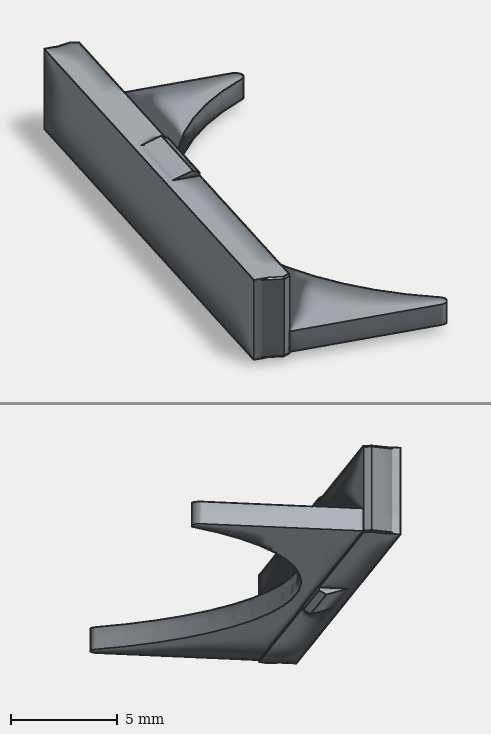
import cadquery as cq
import math

total_length = 26.98
total_depth = 9.9
total_height = 4.83

wall_depth = 1.78
side_ridge_rise = 0.27
top_ridge_rise = 0.32
wall_length = total_length - 2 * side_ridge_rise
wall_height = total_height - 2 * top_ridge_rise

ridge_crest_setback = 0.35
ridge_front_setback = 1.38
top_ridge_back_step = 0.13
side_ridge_back_step = 0.08
top_ridge_length = 4.0
side_ridge_bevel = 0.08
ridge_root = 0.27

plate_thickness = 1.08
plate_bottom_gap = 0.08
cradle_web = 0.73
tip_radius = 0.4


def make_wall():
    return cq.Workplane("XY").box(wall_length, wall_depth, wall_height).translate((0, -wall_depth / 2, 0))


def make_ridge(plane, wall_face, rise, back_step, length):
    """Ridge with a steep back and a long front ramp, centred along its length."""
    outline = [
        (wall_face - ridge_root, 0),
        (wall_face + back_step, 0),
        (wall_face + rise, -ridge_crest_setback),
        (wall_face, -ridge_front_setback),
        (wall_face - ridge_root, -ridge_front_setback),
    ]
    return cq.Workplane(plane).polyline(outline).close().extrude(length / 2, both=True)


def make_cradle():
    """Plate with a concave arc that runs tangentially into two rounded tips."""
    half_length = wall_length / 2
    tip_y = total_depth - wall_depth
    tip_center_x = half_length - tip_radius
    tip_center_y = tip_y - tip_radius

    tip_rise = tip_center_y - cradle_web
    arc_radius = (tip_center_x**2 + tip_rise**2 - tip_radius**2) / (2 * (tip_rise + tip_radius))
    arc_center_y = cradle_web + arc_radius

    angle = math.atan2(arc_center_y - tip_center_y, tip_center_x)
    tangent_x = tip_center_x - tip_radius * math.cos(angle)
    tangent_y = tip_center_y + tip_radius * math.sin(angle)

    return (
        cq.Workplane("XY", origin=(0, 0, -wall_height / 2 + plate_bottom_gap))
        .moveTo(-half_length, -ridge_root)
        .lineTo(half_length, -ridge_root)
        .lineTo(half_length, tip_center_y)
        .threePointArc((tip_center_x, tip_y), (tangent_x, tangent_y))
        .threePointArc((0, cradle_web), (-tangent_x, tangent_y))
        .threePointArc((-tip_center_x, tip_y), (-half_length, tip_center_y))
        .close()
        .extrude(plate_thickness)
    )


top_ridge = make_ridge("ZY", wall_height / 2, top_ridge_rise, top_ridge_back_step, top_ridge_length)
side_ridge = make_ridge("XY", wall_length / 2, side_ridge_rise, side_ridge_back_step, wall_height)
side_ridge = side_ridge.edges("not(|X or |Y or |Z)").chamfer(side_ridge_bevel)

result = make_wall().union(make_cradle())
for ridge, mirror_plane in ((top_ridge, "XY"), (side_ridge, "YZ")):
    result = result.union(ridge).union(ridge.mirror(mirror_plane))